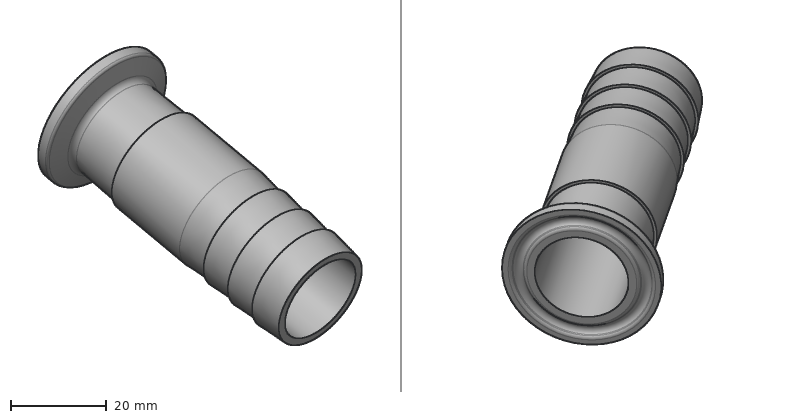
import cadquery as cq
import math

total_length = 69.0
bore_radius = 10.0

flange_radius = 17.01
rim_width = 2.3
rim_round = 0.7
root_fillet = 1.65
flange_slope = math.radians(21)

groove_mid_radius = 13.7
groove_half_width = 2.0
groove_lip_width = 0.75
groove_wall_width = 0.15
groove_wall_angle = math.radians(60)

neck_start_radius = 11.6
neck_end_radius = 11.8
sleeve_start = 17.95
sleeve_radius = 12.5

barb_count = 4
barb_pitch = 7.5
barb_root_radius = 11.8
sleeve_end = total_length - barb_count * barb_pitch


def make_body():
    """Revolve the outer outline; sketch x runs along the axis, y is the radius."""
    slope_sin = math.sin(flange_slope)
    slope_cos = math.cos(flange_slope)
    mid_turn = (math.pi / 2 + flange_slope) / 2
    mid_sin = math.sin(mid_turn)
    mid_cos = math.cos(mid_turn)

    slope_top_x = rim_width + rim_round * slope_cos
    slope_top_radius = flange_radius - rim_round * (1 - slope_sin)
    slope_foot_radius = neck_start_radius + root_fillet * (1 - slope_sin)
    slope_foot_x = slope_top_x + (slope_top_radius - slope_foot_radius) * math.tan(flange_slope)
    neck_start = slope_foot_x + root_fillet * slope_cos

    rim_arc_mid = (rim_width + rim_round * mid_cos, flange_radius - rim_round * (1 - mid_sin))
    root_arc_mid = (neck_start - root_fillet * mid_cos, neck_start_radius + root_fillet * (1 - mid_sin))

    outline = (
        cq.Workplane("XY")
        .moveTo(0, 0)
        .lineTo(0, flange_radius)
        .lineTo(rim_width, flange_radius)
        .threePointArc(rim_arc_mid, (slope_top_x, slope_top_radius))
        .lineTo(slope_foot_x, slope_foot_radius)
        .threePointArc(root_arc_mid, (neck_start, neck_start_radius))
        .lineTo(sleeve_start, neck_end_radius)
        .lineTo(sleeve_start, sleeve_radius)
        .lineTo(sleeve_end, sleeve_radius)
    )
    for barb in range(barb_count):
        barb_start = sleeve_end + barb * barb_pitch
        if barb > 0:
            outline = outline.lineTo(barb_start, sleeve_radius)
        outline = outline.lineTo(barb_start + barb_pitch, barb_root_radius)
    outline = outline.lineTo(total_length, 0).close()
    return outline.revolve(360, (0, 0, 0), (1, 0, 0))


def make_groove():
    """Ring cutter with a round floor, short straight walls and rounded lips."""
    wall_sin = math.sin(groove_wall_angle)
    wall_cos = math.cos(groove_wall_angle)
    half_sin = math.sin(groove_wall_angle / 2)
    half_cos = math.cos(groove_wall_angle / 2)
    wall_half_width = groove_half_width - groove_lip_width
    floor_half_width = wall_half_width - groove_wall_width
    lip_round = groove_lip_width / wall_sin
    floor_round = floor_half_width / wall_sin
    lip_depth = lip_round * (1 - wall_cos)
    wall_depth = lip_depth + groove_wall_width * math.tan(groove_wall_angle)
    depth = wall_depth + floor_round * (1 - wall_cos)

    lip_mid_depth = lip_round * (1 - half_cos)
    lip_mid_offset = groove_half_width - lip_round * half_sin
    inner_edge = groove_mid_radius - groove_half_width
    outer_edge = groove_mid_radius + groove_half_width
    inner_wall = (lip_depth, groove_mid_radius - wall_half_width)
    inner_floor = (wall_depth, groove_mid_radius - floor_half_width)
    outer_floor = (wall_depth, groove_mid_radius + floor_half_width)
    outer_wall = (lip_depth, groove_mid_radius + wall_half_width)

    return (
        cq.Workplane("XY")
        .moveTo(0, inner_edge)
        .threePointArc((lip_mid_depth, groove_mid_radius - lip_mid_offset), inner_wall)
        .lineTo(*inner_floor)
        .threePointArc((depth, groove_mid_radius), outer_floor)
        .lineTo(*outer_wall)
        .threePointArc((lip_mid_depth, groove_mid_radius + lip_mid_offset), (0, outer_edge))
        .close()
        .revolve(360, (0, 0, 0), (1, 0, 0))
    )


bore = cq.Workplane("YZ").circle(bore_radius).extrude(total_length)

result = make_body().cut(make_groove()).cut(bore)